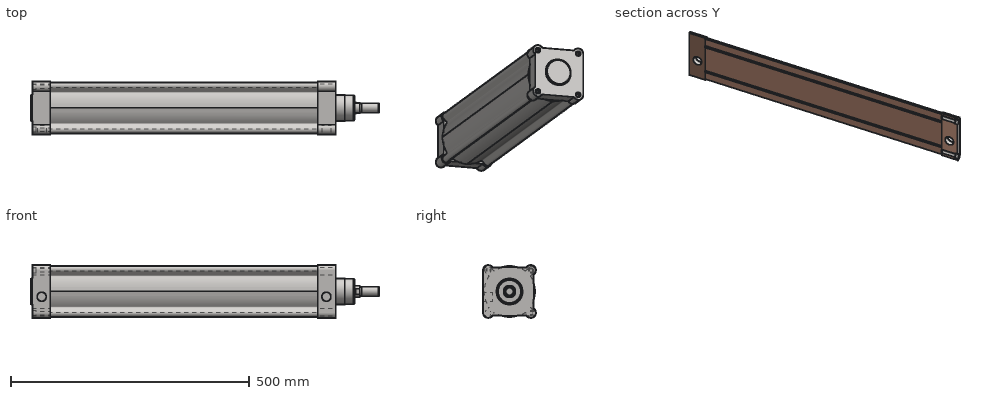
import cadquery as cq
import math


TOTAL_LENGTH = 733.0
REAR_DISC_HEIGHT = 4.0
CAP_LENGTH = 38.0
BARREL_LENGTH = 561.0
REAR_CAP_START = REAR_DISC_HEIGHT
BARREL_START = REAR_CAP_START + CAP_LENGTH
FRONT_CAP_START = BARREL_START + BARREL_LENGTH
NOSE_START = FRONT_CAP_START + CAP_LENGTH

CAP_HALF_SIZE = 56.0
CAP_HALF_BODY = 50.5
EAR_RADIUS = 11.0
EAR_CENTRE = CAP_HALF_SIZE - EAR_RADIUS
DISC_RADIUS = 28.0
DISC_CHAMFER = 2.0

SCREW_HEAD_RADIUS = 5.0
SCREW_HEAD_DEPTH = 7.0
SCREW_HOLE_RADIUS = 4.0

PORT_RADIUS = 9.5
PORT_DEPTH = 19.0
PORT_Z = -11.0
REAR_PORT_X = 23.5
FRONT_PORT_X = 621.0

NOSE_BASE_LENGTH = 19.0
NOSE_TIP_RADIUS = 27.0
NOSE_STEP = 0.4
NOSE_BASE_RADIUS = NOSE_TIP_RADIUS + NOSE_STEP
NOSE_TIP_LENGTH = 20.5
NOSE_CHAMFER = 3.0

SIDE_CROWN = 53.5
SIDE_RADIUS = 58.5
RIDGE_HEIGHT = 54.0
RIDGE_HALF_WIDTH = 9.5
RAIL_RADIUS = 7.0
RAIL_CENTRE = 46.0
RAIL_ROOT_FILLET = 2.0

ROD_START = NOSE_START + NOSE_BASE_LENGTH + NOSE_TIP_LENGTH
SHANK_END = 692.0
SHANK_RADIUS = 12.5
WRENCH_FLAT_START = 683.0
WRENCH_FLAT_LENGTH = SHANK_END - WRENCH_FLAT_START
WRENCH_FLAT_HALF_WIDTH = 11.0
UNDERCUT_LENGTH = 4.0
UNDERCUT_RADIUS = 9.5
THREAD_START = SHANK_END + UNDERCUT_LENGTH
THREAD_RADIUS = 10.0
THREAD_CHAMFER = 2.0


def section_at(x):
    """Workplane across the axis, with local axes Y and Z, extruding towards +X."""
    return cq.Workplane("YZ", origin=(x, 0, 0))


def cylinder_at(x, length, radius):
    return section_at(x).circle(radius).extrude(length)


def at_ears(plane):
    """The centres of the four corner ears, which the tie-rod screws share."""
    return plane.pushPoints([(y * EAR_CENTRE, z * EAR_CENTRE) for y in (-1, 1) for z in (-1, 1)])


def cap_block(start):
    """Block with four round corner ears; the -Y side is flush with the ears."""
    body = section_at(start).rect(2 * EAR_CENTRE, 2 * CAP_HALF_BODY).extrude(CAP_LENGTH)
    flank_width = CAP_HALF_SIZE + CAP_HALF_BODY
    flank_middle = (CAP_HALF_BODY - CAP_HALF_SIZE) / 2
    flank = (
        section_at(start)
        .center(flank_middle, 0)
        .rect(flank_width, 2 * EAR_CENTRE)
        .extrude(CAP_LENGTH)
    )
    ears = at_ears(section_at(start)).circle(EAR_RADIUS).extrude(CAP_LENGTH)
    return body.union(flank).union(ears)


def port(x):
    """Blind port bored into the flat -Y side."""
    return (
        cq.Workplane("XZ", origin=(x, -CAP_HALF_SIZE, PORT_Z))
        .circle(PORT_RADIUS)
        .extrude(-PORT_DEPTH)
    )


def make_rear_cap():
    cap = cap_block(REAR_CAP_START)
    disc = cylinder_at(0, REAR_DISC_HEIGHT, DISC_RADIUS).faces("<X").chamfer(DISC_CHAMFER)
    cap = cap.union(disc).cut(port(REAR_PORT_X))
    head_recesses = at_ears(section_at(REAR_CAP_START)).circle(SCREW_HEAD_RADIUS).extrude(SCREW_HEAD_DEPTH)
    screw_holes = at_ears(section_at(REAR_CAP_START)).circle(SCREW_HOLE_RADIUS).extrude(CAP_LENGTH)
    return cap.cut(head_recesses).cut(screw_holes)


def make_front_cap():
    base = cylinder_at(NOSE_START, NOSE_BASE_LENGTH, NOSE_BASE_RADIUS)
    tip = cylinder_at(NOSE_START + NOSE_BASE_LENGTH, NOSE_TIP_LENGTH, NOSE_TIP_RADIUS)
    tip = tip.faces(">X").chamfer(NOSE_CHAMFER)
    return cap_block(FRONT_CAP_START).union(base).union(tip).cut(port(FRONT_PORT_X))


def barrel_core():
    """Four arched sides meeting on the diagonals, each with a low ridge along its middle."""
    arc_centre = SIDE_CROWN - SIDE_RADIUS

    def arch_height(across):
        return arc_centre + math.sqrt(SIDE_RADIUS**2 - across**2)

    corner = (arc_centre + math.sqrt(2 * SIDE_RADIUS**2 - arc_centre**2)) / 2
    halfway = (corner + RIDGE_HALF_WIDTH) / 2

    side_arc = (halfway, arch_height(halfway))
    ridge_edge = (RIDGE_HALF_WIDTH, arch_height(RIDGE_HALF_WIDTH))
    sector = (
        section_at(BARREL_START)
        .lineTo(-corner, corner)
        .threePointArc((-side_arc[0], side_arc[1]), (-ridge_edge[0], ridge_edge[1]))
        .lineTo(0, RIDGE_HEIGHT)
        .lineTo(*ridge_edge)
        .threePointArc(side_arc, (corner, corner))
        .close()
        .extrude(BARREL_LENGTH)
    )
    core = sector
    for quarter in range(1, 4):
        core = core.union(sector.rotate((0, 0, 0), (1, 0, 0), 90 * quarter))
    return core


def make_barrel():
    """Barrel core with a round-nosed rail standing out along each corner."""
    barrel = barrel_core()
    rail_tip = math.hypot(RAIL_CENTRE, RAIL_CENTRE) + RAIL_RADIUS
    for angle in (45, -45):
        rail_pair = section_at(BARREL_START).slot2D(2 * rail_tip, 2 * RAIL_RADIUS, angle)
        barrel = barrel.union(rail_pair.extrude(BARREL_LENGTH))
    root_reach = RAIL_CENTRE - RAIL_ROOT_FILLET
    rail_roots = cq.selectors.BoxSelector(
        (BARREL_START, -root_reach, -root_reach),
        (FRONT_CAP_START, root_reach, root_reach),
    )
    return barrel.edges("|X").edges(rail_roots).fillet(RAIL_ROOT_FILLET)


def make_rod():
    """Shank with two wrench flats, an undercut and a threaded end."""
    shank = cylinder_at(ROD_START, SHANK_END - ROD_START, SHANK_RADIUS)
    undercut = cylinder_at(SHANK_END, UNDERCUT_LENGTH, UNDERCUT_RADIUS)
    thread = cylinder_at(THREAD_START, TOTAL_LENGTH - THREAD_START, THREAD_RADIUS)
    thread = thread.faces(">X").chamfer(THREAD_CHAMFER)
    rod = shank.union(undercut).union(thread)
    cutter = cq.Workplane("XY").box(WRENCH_FLAT_LENGTH, SHANK_RADIUS, 2 * SHANK_RADIUS)
    cutter_x = WRENCH_FLAT_START + WRENCH_FLAT_LENGTH / 2
    cutter_y = WRENCH_FLAT_HALF_WIDTH + SHANK_RADIUS / 2
    for side in (-1, 1):
        rod = rod.cut(cutter.translate((cutter_x, side * cutter_y, 0)))
    return rod


rear_cap = make_rear_cap()
barrel = make_barrel()
front_cap = make_front_cap()
piston_rod = make_rod()

result = cq.Compound.makeCompound(
    [rear_cap.val(), barrel.val(), front_cap.val(), piston_rod.val()]
)